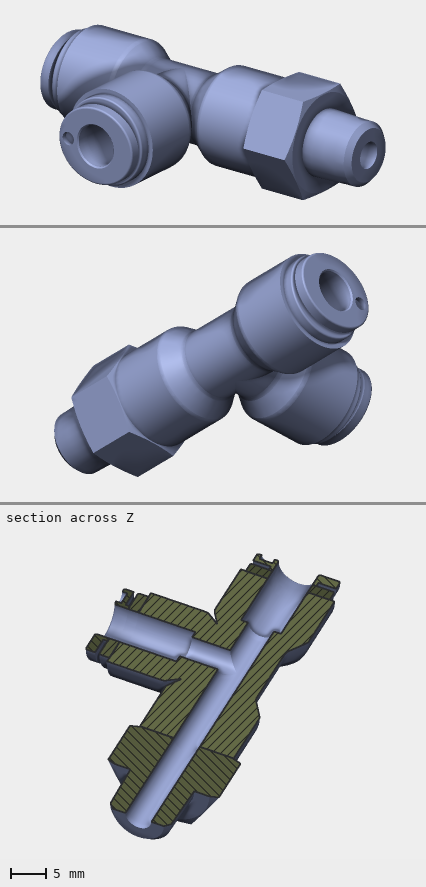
import cadquery as cq
import math


neck_diameter = 10.6
barrel_diameter = 14.7
cone_start = 5.0
cone_end = 8.0
port_shoulder_radius = 1.2
hex_shoulder_radius = 0.9
port_end = 16.9
hex_start = 16.75
flow_bore_diameter = 4.0
tube_bore_diameter = 6.2

ring_diameter = 13.15
ring_end = 18.5
ring_edge_radius = 0.25

stem_diameter = 7.5
flange_width = 13.0
flange_height = 11.5
flange_start = 19.1
flange_end = 20.65
flange_edge_radius = 0.25
mouth_chamfer = 0.2
pin_hole_diameter = 2.0
pin_hole_offset = 4.8
pin_hole_depth = 0.8

hex_across_flats = 15.0
hex_length = 8.1
nipple_end = 32.8
hex_chamfer_diameter = 14.7
hex_chamfer_length = 0.4
thread_base_diameter = 10.0
thread_taper = 1 / 16
thread_chamfer = 0.8

hex_corner_diameter = hex_across_flats / math.cos(math.radians(30))
hex_end = hex_start + hex_length

LEFT = 180
BRANCH = -90


def turned(points):
    """Solid of revolution about the X axis from (distance along X, radius) corners."""
    return cq.Workplane("XY").polyline(points).close().revolve(360, (0, 0, 0), (1, 0, 0))


def cylinder(diameter, start, end):
    return cq.Workplane("YZ", origin=(start, 0, 0)).circle(diameter / 2).extrude(end - start)


def place(part, angle):
    return part.rotate((0, 0, 0), (0, 0, 1), angle)


def make_leg(end, shoulder_radius):
    """Neck, cone and barrel of one leg of the tee, with rounded shoulders."""
    leg = turned([
        (0, 0),
        (0, neck_diameter / 2),
        (cone_start, neck_diameter / 2),
        (cone_end, barrel_diameter / 2),
        (end, barrel_diameter / 2),
        (end, 0),
    ])
    return leg.faces("%CONE").edges("%CIRCLE").fillet(shoulder_radius)


def make_body():
    body = make_leg(hex_start, hex_shoulder_radius)
    for angle in (LEFT, BRANCH):
        body = body.union(place(make_leg(port_end, port_shoulder_radius), angle))
    body = body.cut(cylinder(flow_bore_diameter, -port_end, hex_start))
    body = body.cut(place(cylinder(flow_bore_diameter, 0, port_end), BRANCH))
    for angle in (LEFT, BRANCH):
        body = body.cut(place(cylinder(tube_bore_diameter, cone_end, port_end), angle))
    return body


def make_ring():
    """Plain ring on the end of a port barrel."""
    ring = cylinder(ring_diameter, port_end, ring_end)
    ring = ring.faces(">X").edges().fillet(ring_edge_radius)
    return ring.cut(cylinder(tube_bore_diameter, port_end, ring_end))


def make_sleeve(pin_side):
    """Release sleeve: round stem, oval flange and a blind pin hole on the +Y (1) or -Y (-1) side."""
    flange = (
        cq.Workplane("YZ", origin=(flange_start, 0, 0))
        .ellipse(flange_width / 2, flange_height / 2)
        .extrude(flange_end - flange_start)
        .faces(">X").edges().fillet(flange_edge_radius)
    )
    sleeve = flange.union(cylinder(stem_diameter, ring_end, flange_start))
    sleeve = sleeve.cut(cylinder(tube_bore_diameter, ring_end, flange_end))
    mouth = tube_bore_diameter / 2
    sleeve = sleeve.cut(turned([
        (flange_end - mouth_chamfer, 0),
        (flange_end - mouth_chamfer, mouth),
        (flange_end, mouth + mouth_chamfer),
        (flange_end, 0),
    ]))
    pin_hole = cylinder(pin_hole_diameter, flange_end - pin_hole_depth, flange_end)
    return sleeve.cut(pin_hole.translate((0, pin_side * pin_hole_offset, 0)))


def make_nipple():
    """Hexagon with chamfered corners and a tapered thread end, bored through."""
    hexagon = (
        cq.Workplane("YZ", origin=(hex_start, 0, 0))
        .polygon(6, hex_corner_diameter)
        .extrude(hex_length)
    )
    corner_limit = turned([
        (hex_start, 0),
        (hex_start, hex_chamfer_diameter / 2),
        (hex_start + hex_chamfer_length, hex_corner_diameter / 2),
        (hex_end - hex_chamfer_length, hex_corner_diameter / 2),
        (hex_end, hex_chamfer_diameter / 2),
        (hex_end, 0),
    ])
    chamfer_start = nipple_end - thread_chamfer
    tip_radius = thread_base_diameter / 2 - thread_taper / 2 * (chamfer_start - hex_end)
    thread = turned([
        (hex_end, 0),
        (hex_end, thread_base_diameter / 2),
        (chamfer_start, tip_radius),
        (nipple_end, tip_radius - thread_chamfer),
        (nipple_end, 0),
    ])
    nipple = hexagon.intersect(corner_limit).union(thread)
    return nipple.cut(cylinder(flow_bore_diameter, hex_start, nipple_end))


bodies = [make_body().val(), make_nipple().val()]
for angle, pin_side in ((LEFT, 1), (BRANCH, -1)):
    bodies.append(place(make_ring(), angle).val())
    bodies.append(place(make_sleeve(pin_side), angle).val())

result = cq.Compound.makeCompound(bodies)